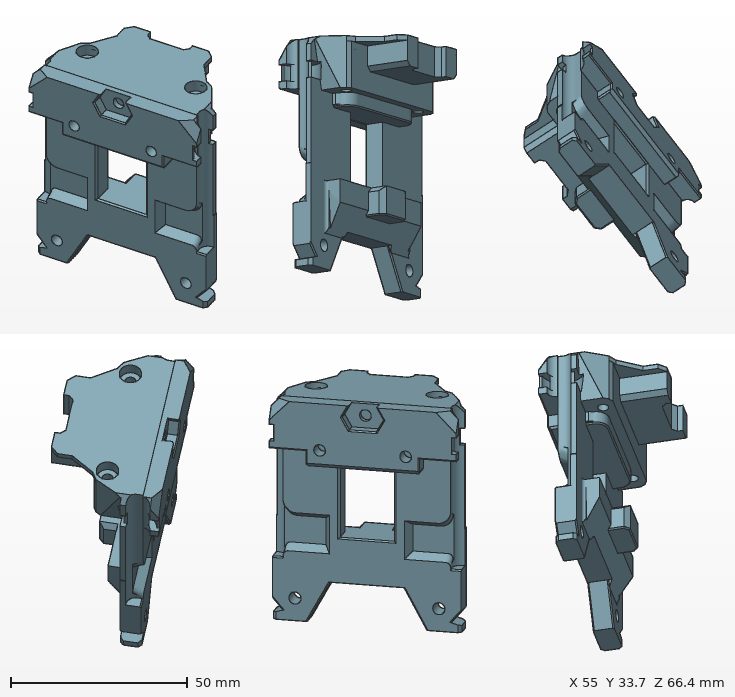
import cadquery as cq
import math

TOP = 66.35
SEAM_Y = 5.0
PLATE_BACK = 11.15
OVERALL_WIDTH = 55.0
LOW_HALF_WIDTH = OVERALL_WIDTH / 2
HALF_WIDTH = 27.3
WIDTH_STEP_Z = 29.5
TOP_CORNER = 2.3
EDGE_BREAK = 0.4
OVERCUT = 0.65

ARCH_TOP_Z = 12.15
ARCH_HALF_TOP = 10.7
ARCH_HALF_BOTTOM = 17.4
ARCH_SIDE = [(ARCH_HALF_TOP, ARCH_TOP_Z), (ARCH_HALF_BOTTOM, 0)]
FOOT_OUTER_Z = 2.0
FOOT_INNER_Z = 2.85
FOOT_NOTCH_X = 24.6
FOOT_NOTCH_TOP_Z = 6.2
FOOT_CORNER = 1.0
WINDOW_HALF_WIDTH = 7.9
WINDOW_BOTTOM = 25.55
WINDOW_TOP = 47.4
WINDOW_CHAMFER = 0.6
FOOT_HOLE_X = 20.95
FOOT_HOLE_Z = 6.7
FOOT_HOLE_D = 3.5

CHANNEL_WALL_X = 24.4
CHANNEL_RADIUS = 2.7
CHANNEL_CENTRE_Y = 6.8
CHANNEL_BOTTOM = 18.65
COVER_CHANNEL_WALL_X = 24.95
COVER_CHANNEL_DEPTH = 2.45
TIE_X = 27.5
TIE_Y = 6.95
TIE_OUTER_R = 6.4
TIE_INNER_Y = 6.65
TIE_INNER_R = 3.9
TIE_BOTTOM = 54.3
TIE_TOP = 59.2
TIE_FLOOR_X = 25.95

POCKET_INNER_X = 10.95
POCKET_BOTTOM = 20.6
POCKET_TOP = 32.0
POCKET_DEPTH = 3.0
POCKET_TAPER = 30
POCKET_UPPER_R = 3.65
POCKET_LOWER_R = 1.5

BLOCK_BOTTOM = 51.35
BLOCK_BACK = 20.0
BLOCK_CORNER_X = 21.35
BLOCK_CORNER_Y = 19.1
BLOCK_BACK_HALF = 19.9
BLOCK_SIDE_X = 25.95
BLOCK_LOW_SIDE_X = 22.2
FLANGE_BACK = 33.7
FLANGE_BOTTOM = 57.6
FLANGE_HALF_WIDTH = 12.1
FLANGE_EDGE = 1.4
SLAB_THICKNESS = 1.5
SLAB_HALF_WIDTH = 14.2
SLAB_SHOULDER_Y = 27.35
SLAB_ROOT_X = 18.9
SLAB_ROOT_Y = 20.6
NOTCH_HALF_WIDTH = 6.85
NOTCH_FLOOR_Y = 30.8
NOTCH_CORNER = 1.3
SCREW_X = 17.65
SCREW_Y = 16.5
SCREW_D = 3.1
SCREW_HEAD_D = 6.3
SCREW_HEAD_DEPTH = 3.5
RIB_BACK = 17.05
RIB_FLARE = 0.4
RIB_FLARE_RISE = 0.7
RIB_HALF_WIDTH = 16.3
RIB_CORNER_R = 3.8

WEDGE_BACK = 16.0
WEDGE_HALF_WIDTH = 19.9
WEDGE_KNEE_Z = 18.8
WEDGE_FOOT_Z = 10.3
WEDGE_TOP = WINDOW_BOTTOM
WEDGE_FACET_TILT = 6
WEDGE_FACET_SLOPE = 45
ROOT_SIZE = 0.9
WEDGE_FACET_DEPTH = 1.3
LUG_HALF_WIDTH = 6.1
LUG_BACK = 21.2
LUG_BOTTOM = 17.1
LUG_CORNER = 1.45

COVER_BOTTOM = 52.1
TAB_BOTTOM = 47.45
TAB_HALF_WIDTH = 16.5
TAB_CORNER_HEIGHT = 0.7
TAB_CHAMFER = 1.05
FACET_X = 21.35
FACET_DEPTH = 2.45
NUT_Z = 62.85
NUT_HALF_HEIGHT = 3.65
NUT_HALF_FLAT = 3.9
NUT_DEPTH = 3.3
NUT_SLANT = math.radians(30)
COVER_HOLE_D = 3.4
COVER_SCREW_X = 12.55
COVER_SCREW_Z = 52.55

SIDES = (-1, 1)


def box(x0, x1, y0, y1, z0, z1):
    return cq.Workplane("XY").box(x1 - x0, y1 - y0, z1 - z0, centered=False).translate((x0, y0, z0))


def mirrored(right_points):
    """Closed outline from its +X half, listed from one end of the middle line to the other."""
    return right_points + [(-x, v) for x, v in reversed(right_points)]


def prism_y(points, front, back):
    """XZ outline extruded from Y = front to Y = back."""
    return cq.Workplane("XZ", origin=(0, front, 0)).polyline(points).close().extrude(front - back)


def prism_z(points, bottom, top):
    """XY outline extruded from Z = bottom to Z = top."""
    return cq.Workplane("XY", origin=(0, 0, bottom)).polyline(points).close().extrude(top - bottom)


def hole_y(x, z, diameter, front, back):
    return cq.Workplane("XZ", origin=(x, front, z)).circle(diameter / 2).extrude(front - back)


def on_side(shape, side):
    """Place a shape drawn at +X on the chosen side."""
    return shape if side > 0 else shape.mirror("YZ")


def tie_groove():
    """Ring groove around the channel plus the flat that opens it to the side."""
    height = TIE_TOP - TIE_BOTTOM
    outer = cq.Workplane("XY", origin=(TIE_X, TIE_Y, TIE_BOTTOM)).circle(TIE_OUTER_R).extrude(height)
    inner = cq.Workplane("XY", origin=(TIE_X, TIE_INNER_Y, TIE_BOTTOM)).circle(TIE_INNER_R).extrude(height)
    flat = box(TIE_FLOOR_X, TIE_X + OVERCUT, -OVERCUT, TIE_Y + TIE_OUTER_R, TIE_BOTTOM, TIE_TOP)
    return outer.cut(inner).union(flat)


def top_corner_cut():
    """45 degree cut along Y at an upper corner."""
    reach = TOP_CORNER + OVERCUT
    outer = HALF_WIDTH + OVERCUT
    points = [
        (HALF_WIDTH - reach, TOP + OVERCUT),
        (outer, TOP + OVERCUT),
        (outer, TOP - reach),
    ]
    return prism_y(points, -OVERCUT, FLANGE_BACK)


def plate():
    """Upright plate with an arch and two notched feet at the bottom."""
    outline = mirrored(ARCH_SIDE + [
        (LOW_HALF_WIDTH, 0),
        (LOW_HALF_WIDTH, FOOT_OUTER_Z),
        (FOOT_NOTCH_X, FOOT_INNER_Z),
        (LOW_HALF_WIDTH, FOOT_NOTCH_TOP_Z),
        (LOW_HALF_WIDTH, WIDTH_STEP_Z),
        (HALF_WIDTH, WIDTH_STEP_Z),
        (HALF_WIDTH, TOP),
    ])
    body = prism_y(outline, SEAM_Y, PLATE_BACK)
    for side in SIDES:
        x = side * LOW_HALF_WIDTH
        foot = cq.selectors.BoxSelector(
            (x - OVERCUT, 0, 0), (x + OVERCUT, FLANGE_BACK, FOOT_OUTER_Z))
        body = body.edges("|Z").edges(foot).chamfer(FOOT_CORNER)
    lower_rim = cq.selectors.BoxSelector(
        (-LOW_HALF_WIDTH, 0, FOOT_INNER_Z), (LOW_HALF_WIDTH, FLANGE_BACK, ARCH_TOP_Z - OVERCUT))
    return body.faces("<Y or >Y").edges(lower_rim).chamfer(EDGE_BREAK)


def window():
    """Rectangular opening with a chamfered front edge."""
    cut = box(-WINDOW_HALF_WIDTH, WINDOW_HALF_WIDTH, SEAM_Y, PLATE_BACK, WINDOW_BOTTOM, WINDOW_TOP)
    flare = (
        cq.Workplane("XZ", origin=(0, SEAM_Y, (WINDOW_BOTTOM + WINDOW_TOP) / 2))
        .rect(2 * (WINDOW_HALF_WIDTH + WINDOW_CHAMFER), WINDOW_TOP - WINDOW_BOTTOM + 2 * EDGE_BREAK)
        .workplane(offset=-WINDOW_CHAMFER)
        .rect(2 * WINDOW_HALF_WIDTH, WINDOW_TOP - WINDOW_BOTTOM)
        .loft(combine=True)
    )
    return cut.union(flare)


def carriage_channel():
    """Upright slot with a round inner corner, open to the front, side and top."""
    back = CHANNEL_CENTRE_Y + CHANNEL_RADIUS
    slot = box(CHANNEL_WALL_X, TIE_X + OVERCUT, SEAM_Y, back, CHANNEL_BOTTOM, TOP)
    slot = slot.edges("|Z and <X and >Y").fillet(CHANNEL_RADIUS)
    lip = (
        cq.Workplane("YZ", origin=(CHANNEL_WALL_X, SEAM_Y, CHANNEL_BOTTOM))
        .polyline([(0, 0), (EDGE_BREAK, 0), (0, -EDGE_BREAK)]).close()
        .extrude(LOW_HALF_WIDTH + OVERCUT - CHANNEL_WALL_X)
    )
    return slot.union(lip)


def pocket_outline(plane, inset):
    """Pocket edge with rounded corners that flare into the channel, moved inwards by inset."""
    low_r, up_r = POCKET_LOWER_R, POCKET_UPPER_R
    low_z = POCKET_BOTTOM + inset - low_r
    up_z = POCKET_TOP - inset + up_r
    inner = POCKET_INNER_X + inset
    wall = CHANNEL_WALL_X
    outer = wall + POCKET_DEPTH
    half = math.sqrt(0.5)
    return (
        plane.moveTo(inner, low_z + low_r)
        .lineTo(wall - low_r, low_z + low_r)
        .threePointArc((wall - low_r + low_r * half, low_z + low_r * half), (wall, low_z))
        .lineTo(outer, low_z)
        .lineTo(outer, up_z)
        .lineTo(wall, up_z)
        .threePointArc((wall - up_r + up_r * half, up_z - up_r * half), (wall - up_r, up_z - up_r))
        .lineTo(inner, up_z - up_r)
        .close()
    )


def pocket():
    """Pocket with sloping walls, open to the side channel."""
    mouth = pocket_outline(cq.Workplane("XZ", origin=(0, SEAM_Y, 0)), 0)
    floor_inset = POCKET_DEPTH * math.tan(math.radians(POCKET_TAPER))
    return pocket_outline(mouth.workplane(offset=-POCKET_DEPTH), floor_inset).loft(ruled=True)


def block():
    """Solid behind the top of the plate; its lower sides lean inwards."""
    plan = mirrored([
        (BLOCK_SIDE_X, SEAM_Y),
        (BLOCK_SIDE_X, PLATE_BACK),
        (BLOCK_CORNER_X, BLOCK_CORNER_Y),
        (BLOCK_BACK_HALF, BLOCK_BACK),
    ])
    lean = mirrored([(BLOCK_LOW_SIDE_X, BLOCK_BOTTOM), (BLOCK_SIDE_X, TOP)])
    return prism_z(plan, BLOCK_BOTTOM, TOP).intersect(prism_y(lean, SEAM_Y, BLOCK_BACK))


def flange():
    """Rearward beam under a wider thin slab, with a notch in its rear edge."""
    edge = SLAB_HALF_WIDTH - FLANGE_HALF_WIDTH
    slab = prism_z(mirrored([
        (BLOCK_CORNER_X, BLOCK_CORNER_Y),
        (SLAB_ROOT_X, SLAB_ROOT_Y),
        (SLAB_HALF_WIDTH, SLAB_SHOULDER_Y),
        (SLAB_HALF_WIDTH, FLANGE_BACK - edge),
        (FLANGE_HALF_WIDTH, FLANGE_BACK),
    ]), TOP - SLAB_THICKNESS, TOP)
    beam = prism_y(mirrored([
        (FLANGE_HALF_WIDTH - FLANGE_EDGE, FLANGE_BOTTOM),
        (FLANGE_HALF_WIDTH, FLANGE_BOTTOM + FLANGE_EDGE),
        (FLANGE_HALF_WIDTH, TOP),
    ]), BLOCK_CORNER_Y, FLANGE_BACK)
    notch = prism_z(mirrored([
        (NOTCH_HALF_WIDTH - NOTCH_CORNER, NOTCH_FLOOR_Y),
        (NOTCH_HALF_WIDTH, NOTCH_FLOOR_Y + NOTCH_CORNER),
        (NOTCH_HALF_WIDTH, FLANGE_BACK + OVERCUT),
    ]), FLANGE_BOTTOM, TOP)
    return slab.union(beam).cut(notch)


def rib():
    """Round-cornered rib under the block, above the window, widened where it meets the plate."""
    bar = box(-RIB_HALF_WIDTH, RIB_HALF_WIDTH, PLATE_BACK, RIB_BACK, WINDOW_TOP, BLOCK_BOTTOM)
    bar = bar.edges("|Z and >Y").fillet(RIB_CORNER_R).faces("<Z").edges("not <Y").chamfer(EDGE_BREAK)
    root = mirrored([
        (RIB_HALF_WIDTH + RIB_FLARE, PLATE_BACK),
        (RIB_HALF_WIDTH + RIB_FLARE, PLATE_BACK + ROOT_SIZE),
        (RIB_HALF_WIDTH, RIB_BACK - RIB_CORNER_R),
    ])
    return bar.union(prism_z(root, WINDOW_TOP + RIB_FLARE_RISE, BLOCK_BOTTOM))


def wedge_prism():
    """The side profile of the wedge over the full plate width."""
    profile = [
        (PLATE_BACK, WEDGE_FOOT_Z),
        (WEDGE_BACK, WEDGE_KNEE_Z),
        (WEDGE_BACK, WEDGE_TOP),
        (PLATE_BACK, WEDGE_TOP),
    ]
    return cq.Workplane("YZ").polyline(profile).close().extrude(HALF_WIDTH, both=True)


def wedge():
    """Wedge behind the plate with faceted sides, kept clear of the arch."""
    width = box(-WEDGE_HALF_WIDTH, WEDGE_HALF_WIDTH, PLATE_BACK, WEDGE_BACK, WEDGE_FOOT_Z, WEDGE_TOP)
    body = wedge_prism().intersect(width)
    reach = 2 * WEDGE_TOP
    for side in SIDES:
        cutter = (
            box(0, reach, -reach, reach, -reach, 0)
            .rotate((0, 0, 0), (0, 1, 0), WEDGE_FACET_TILT)
            .rotate((0, 0, 0), (1, 0, 0), -WEDGE_FACET_SLOPE)
            .translate((WEDGE_HALF_WIDTH, WEDGE_BACK, WEDGE_KNEE_Z))
        )
        body = body.cut(on_side(cutter, side))
    return body.cut(prism_y(mirrored(ARCH_SIDE), PLATE_BACK, LUG_BACK))


def wedge_roots():
    """Concave fillets between the sides of the wedge and the plate, trimmed to the wedge slope."""
    x = WEDGE_HALF_WIDTH
    y = PLATE_BACK
    r = ROOT_SIZE
    strip = box(x - WEDGE_FACET_DEPTH, x + r, y, y + r, WEDGE_FOOT_Z, WEDGE_TOP)
    strip = strip.cut(cq.Workplane("XY", origin=(x + r, y + r, 0)).circle(r).extrude(TOP))
    strip = strip.intersect(wedge_prism())
    return strip.union(strip.mirror("YZ"))


def lug():
    """Chamfered lug in the middle of the wedge."""
    body = box(-LUG_HALF_WIDTH, LUG_HALF_WIDTH, PLATE_BACK, LUG_BACK, LUG_BOTTOM, WEDGE_TOP)
    body = body.edges("|Y and >Z").chamfer(LUG_CORNER)
    body = body.edges("|Z and >Y").chamfer(LUG_CORNER)
    return body.faces("<Z").edges("not <Y").chamfer(EDGE_BREAK)


def make_carriage():
    """Plate with its rear block, flange, rib, wedge and lug, and the cuts through them."""
    body = plate().union(block()).union(flange()).union(rib()).union(wedge()).union(lug())
    body = body.union(wedge_roots()).cut(window())
    for side in SIDES:
        body = body.cut(on_side(top_corner_cut(), side))
        body = body.cut(on_side(carriage_channel(), side))
        body = body.cut(on_side(pocket(), side))
        body = body.cut(on_side(tie_groove(), side))
        body = body.cut(hole_y(side * FOOT_HOLE_X, FOOT_HOLE_Z, FOOT_HOLE_D, 0, PLATE_BACK))
        screw = cq.Workplane("XY", origin=(side * SCREW_X, SCREW_Y, TOP))
        body = body.cut(screw.circle(SCREW_D / 2).extrude(BLOCK_BOTTOM - OVERCUT - TOP))
        body = body.cut(screw.circle(SCREW_HEAD_D / 2).extrude(-SCREW_HEAD_DEPTH))
    return body


def nut_pocket():
    """Wide hexagonal pocket that breaks out of the top edge, with a chamfered mouth."""
    point_length = NUT_HALF_HEIGHT * math.tan(NUT_SLANT)

    def outline(grow):
        half_height = NUT_HALF_HEIGHT + grow
        half_flat = NUT_HALF_FLAT + grow * math.tan(NUT_SLANT)
        half_width = NUT_HALF_FLAT + point_length + grow / math.cos(NUT_SLANT)
        return mirrored([
            (half_flat, NUT_Z - half_height),
            (half_width, NUT_Z),
            (half_flat, NUT_Z + half_height),
        ])

    mouth = (
        cq.Workplane("XZ").polyline(outline(EDGE_BREAK)).close()
        .workplane(offset=-EDGE_BREAK).polyline(outline(0)).close().loft(combine=True)
    )
    return prism_y(outline(0), 0, NUT_DEPTH).union(mouth)


def corner_facet():
    """Wedge that slants off the front of an upper corner, running along the 45 degree corner cut."""
    across_corner = cq.Plane(origin=(FACET_X, 0, TOP), xDir=(1, 0, 1), normal=(-1, 0, 1))
    rise = (HALF_WIDTH - TOP_CORNER - FACET_X) * math.sqrt(0.5)
    reach = (HALF_WIDTH - FACET_X + TOP_CORNER) * math.sqrt(2)
    section = [(0, 0), (0, -OVERCUT), (rise, -OVERCUT), (rise, FACET_DEPTH)]
    return cq.Workplane(across_corner).polyline(section).close().extrude(reach, both=True)


def cover_channel():
    """Quarter-round groove that carries the side channel up the back corner of the cover."""
    height = TOP - COVER_BOTTOM
    x = COVER_CHANNEL_WALL_X + COVER_CHANNEL_DEPTH
    return cq.Workplane("XY", origin=(x, SEAM_Y, COVER_BOTTOM)).circle(COVER_CHANNEL_DEPTH).extrude(height)


def make_cover():
    """Cover that lies flat against the front of the plate."""
    outline = mirrored([
        (TAB_HALF_WIDTH - EDGE_BREAK, TAB_BOTTOM),
        (TAB_HALF_WIDTH, TAB_BOTTOM + TAB_CORNER_HEIGHT),
        (TAB_HALF_WIDTH, COVER_BOTTOM),
        (HALF_WIDTH, COVER_BOTTOM),
        (HALF_WIDTH, TOP - TOP_CORNER),
        (HALF_WIDTH - TOP_CORNER, TOP),
    ])
    body = prism_y(outline, 0, SEAM_Y)
    lower_rim = cq.selectors.BoxSelector(
        (-HALF_WIDTH, -OVERCUT, TAB_BOTTOM + OVERCUT), (HALF_WIDTH, OVERCUT, COVER_BOTTOM + OVERCUT))
    body = body.faces("<Y").edges(lower_rim).chamfer(EDGE_BREAK)
    tab_edge = [(0, TAB_BOTTOM), (TAB_CHAMFER, TAB_BOTTOM), (0, TAB_BOTTOM + TAB_CHAMFER)]
    body = body.cut(cq.Workplane("YZ").polyline(tab_edge).close().extrude(HALF_WIDTH, both=True))
    body = body.cut(nut_pocket()).cut(hole_y(0, NUT_Z, COVER_HOLE_D, 0, SEAM_Y))
    for side in SIDES:
        body = body.cut(on_side(corner_facet(), side))
        body = body.cut(on_side(cover_channel(), side))
        body = body.cut(on_side(tie_groove(), side))
        body = body.cut(hole_y(side * COVER_SCREW_X, COVER_SCREW_Z, COVER_HOLE_D, 0, SEAM_Y))
    return body


carriage = make_carriage()
cover = make_cover()
result = cq.Compound.makeCompound([carriage.solids().val(), cover.solids().val()])